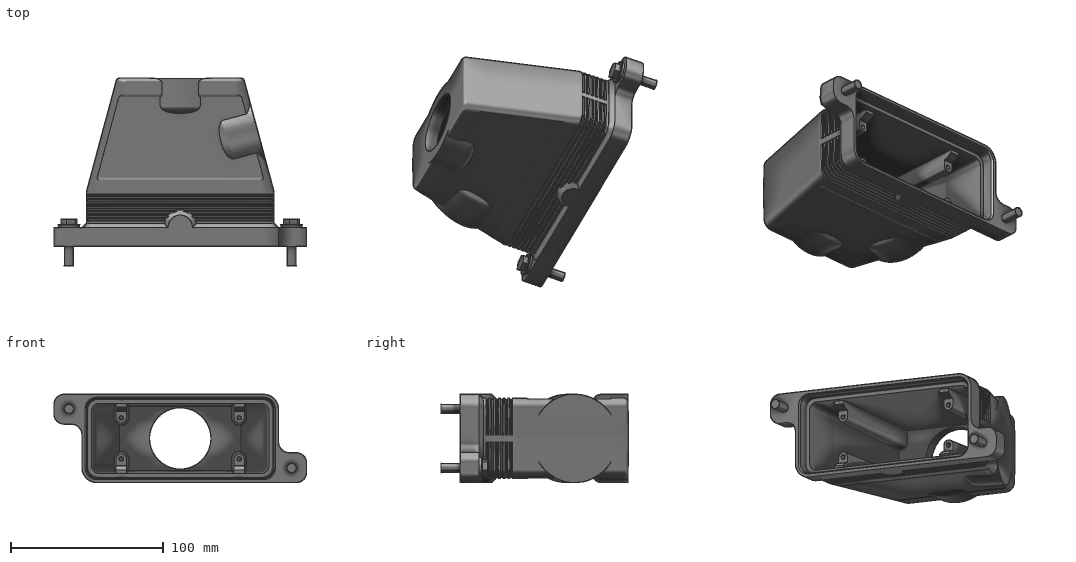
import cadquery as cq
import math


LENGTH = 165.5
FLANGE_DEPTH = 58.0
FLANGE_THICKNESS = 12.2
FLANGE_WIDTH = 128.8
FLANGE_CORNER_RADIUS = 10.0
EAR_HEIGHT = 19.7
EAR_RADIUS = 7.0

BODY_WIDTH = 122.8
BODY_DEPTH = 52.6
BODY_TOP = 110.2
SHOULDER_Y = 35.9
SIDE_ANGLE = 15.0
DRAFT_ANGLE = 1.0
BODY_CORNER_RADIUS = 6.6
BODY_TOP_RADIUS = 2.5
FLARE_ANGLE = 45.0

RECESS_DEPTH = 0.5
RECESS_START_Y = 43.2
RECESS_END_Y = 99.1
RECESS_SLOPE = 1.7

GROOVE_COUNT = 6
GROOVE_SPAN = 15.4
FIRST_GROOVE_Y = 33.3
GROOVE_DEPTH = 0.8
GROOVE_FLANK = 0.7
GROOVE_FLOOR = 0.8
GROOVE_GAP = 4.6

BOSS_RADIUS = FLANGE_DEPTH / 2
BOSS_ROUNDING = 6.5
TOP_BOSS_LENGTH = 17.2
TOP_BOSS_END_Y = 109.7
SIDE_BOSS_LENGTH = 19.4
SIDE_BOSS_START = (32.0, 70.0)
CABLE_HOLE_RADIUS = 20.0

BUMP_Y = 12.5
BUMP_RADIUS = 8.0
BUMP_FLARE = 4.1

MOUTH_WIDTH = 124.5
MOUTH_DEPTH = 54.0
MOUTH_CORNER_RADIUS = 7.8
MOUTH_LEVELS = (0.0, 1.5, 5.5, 8.1)
MOUTH_INSETS = (0.0, 0.8, 1.0, 1.5)
CAVITY_START_Y = MOUTH_LEVELS[-1]
CAVITY_BEND_Y = 39.0
CAVITY_END_Y = 101.8
CAVITY_WIDTHS = (116.2, 112.9, 79.5)
CAVITY_DEPTH_START = 46.0
CAVITY_DEPTH_END = 41.9
CAVITY_CORNER_RADIUS = 5.5

POST_X = 38.5
POST_HOLE_Z = 13.4
POST_RADIUS = 3.3
POST_END_Y = 18.2
POST_DRAFT = 1.1
POST_HOLE_RADIUS = 1.5
POST_HOLE_DEPTH = 13.2
POST_ROOT_Z = 24.2
FOOT_OUTLINE = ((18.2, 17.5), (15.9, 18.0), (11.9, 20.7))

SCREW_X = 72.8
SCREW_Z = 19.4
SCREW_RADIUS = 3.0
SCREW_TIP_Y = -12.7
TIP_RADIUS = 3.1
TIP_THICKNESS = 0.2
WASHER_RADIUS = 6.8
WASHER_THICKNESS = 1.7
COLLAR_RADIUS = 7.1
COLLAR_THICKNESS = 0.5
HEX_ACROSS_CORNERS = 11.1
HEX_HEIGHT = 3.5
HEX_TURN = 15.0


def plane_at(y):
    """Workplane at height y whose normal is +Y (its local y axis is -Z)."""
    return cq.Workplane(cq.Plane(origin=(0, y, 0), xDir=(1, 0, 0), normal=(0, 1, 0)))


def rounded_rectangle(y, width, depth, radius):
    return plane_at(y).sketch().rect(width, depth).vertices().fillet(radius).finalize()


def rounded_block(y, width, depth, radius, height, taper=0.0):
    return rounded_rectangle(y, width, depth, radius).extrude(height, taper=taper)


def disc(x, y, z, radius, height):
    return plane_at(y).center(x, -z).circle(radius).extrude(height)


def make_flange():
    half_depth = FLANGE_DEPTH / 2
    half_width = FLANGE_WIDTH / 2
    slab = rounded_block(0, FLANGE_WIDTH, FLANGE_DEPTH, FLANGE_CORNER_RADIUS, FLANGE_THICKNESS)
    ear_z = half_depth - EAR_HEIGHT
    inner_x = half_width - FLANGE_CORNER_RADIUS
    ear = (
        cq.Workplane("XZ")
        .moveTo(-inner_x, half_depth)
        .lineTo(-LENGTH / 2 + EAR_RADIUS, half_depth)
        .radiusArc((-LENGTH / 2, half_depth - EAR_RADIUS), -EAR_RADIUS)
        .lineTo(-LENGTH / 2, ear_z + EAR_RADIUS)
        .radiusArc((-LENGTH / 2 + EAR_RADIUS, ear_z), -EAR_RADIUS)
        .lineTo(-half_width - EAR_RADIUS, ear_z)
        .radiusArc((-half_width, ear_z - EAR_RADIUS), EAR_RADIUS)
        .lineTo(-inner_x, ear_z - EAR_RADIUS)
        .close()
        .extrude(-FLANGE_THICKNESS)
    )
    return slab.union(ear).union(ear.rotate((0, 0, 0), (0, 1, 0), 180))


def make_body():
    """Trapezoid outline drafted both ways from the parting plane z = 0."""
    half_width = BODY_WIDTH / 2
    top_half_width = half_width - (BODY_TOP - SHOULDER_Y) * math.tan(math.radians(SIDE_ANGLE))
    outline = (
        cq.Workplane("XY")
        .moveTo(-half_width, 0)
        .lineTo(half_width, 0)
        .lineTo(half_width, SHOULDER_Y)
        .lineTo(top_half_width, BODY_TOP)
        .lineTo(-top_half_width, BODY_TOP)
        .lineTo(-half_width, SHOULDER_Y)
        .close()
    )
    half = outline.extrude(BODY_DEPTH / 2, taper=DRAFT_ANGLE)
    half = half.faces(">Z").edges("not |X").fillet(BODY_CORNER_RADIUS)
    parting_edges = cq.selectors.BoxSelector((-LENGTH, 0, -1.7), (LENGTH, LENGTH, 1.7))
    half = half.faces(">Y").edges(-parting_edges).fillet(BODY_TOP_RADIUS)
    return half.union(half.mirror("XY"))


def make_recess():
    floor_z = BODY_DEPTH / 2 - RECESS_DEPTH
    above_z = floor_z + 2 * RECESS_DEPTH
    return (
        cq.Workplane("YZ")
        .polyline(
            [
                (RECESS_START_Y - RECESS_SLOPE, above_z),
                (RECESS_START_Y + RECESS_SLOPE, floor_z),
                (RECESS_END_Y - RECESS_SLOPE, floor_z),
                (RECESS_END_Y + RECESS_SLOPE, above_z),
            ]
        )
        .close()
        .extrude(BODY_WIDTH / 2, both=True)
    )


def make_groove(y):
    """Ring cutter with sloped flanks, interrupted at the parting line on both ends."""
    half_floor = GROOVE_FLOOR / 2
    half_height = half_floor + GROOVE_FLANK
    width = BODY_WIDTH - 2 * GROOVE_DEPTH
    depth = BODY_DEPTH - 2 * GROOVE_DEPTH
    radius = BODY_CORNER_RADIUS
    core = rounded_block(y - half_floor, width, depth, radius, GROOVE_FLOOR)
    flank_angle = math.degrees(math.atan2(GROOVE_DEPTH, GROOVE_FLANK))
    flank = rounded_block(y + half_floor, width, depth, radius, GROOVE_FLANK, -flank_angle)
    core = core.union(flank).union(flank.mirror("XZ", (0, y, 0)))
    bridge = cq.Workplane("XY").box(LENGTH, 2 * half_height, GROOVE_GAP).translate((0, y, 0))
    ring = plane_at(y - half_height).rect(LENGTH, FLANGE_DEPTH).extrude(2 * half_height)
    return ring.cut(core).cut(bridge)


def make_boss(length):
    """Solid boss along +Y with a rounded inner end; its straight part starts at y = 0."""
    rounded = disc(0, -BOSS_ROUNDING, 0, BOSS_RADIUS, BOSS_ROUNDING + length)
    return rounded.faces("<Y").edges().fillet(BOSS_ROUNDING)


def make_bump():
    return (
        cq.Workplane("XY", origin=(0, BUMP_Y, FLANGE_DEPTH / 2))
        .circle(BUMP_RADIUS)
        .workplane(offset=-BUMP_FLARE)
        .circle(BUMP_RADIUS + BUMP_FLARE)
        .loft()
    )


def make_mouth():
    mouth = None
    for i in range(len(MOUTH_LEVELS) - 1):
        height = MOUTH_LEVELS[i + 1] - MOUTH_LEVELS[i]
        inset = MOUTH_INSETS[i + 1] - MOUTH_INSETS[i]
        step = rounded_block(
            MOUTH_LEVELS[i],
            MOUTH_WIDTH - 2 * MOUTH_INSETS[i],
            MOUTH_DEPTH - 2 * MOUTH_INSETS[i],
            MOUTH_CORNER_RADIUS - MOUTH_INSETS[i],
            height,
            math.degrees(math.atan2(inset, height)),
        )
        mouth = step if mouth is None else mouth.union(step)
    return mouth


def make_cavity():
    wires = []
    narrowing = (CAVITY_DEPTH_START - CAVITY_DEPTH_END) / (CAVITY_END_Y - CAVITY_START_Y)
    for y, width in zip((CAVITY_START_Y, CAVITY_BEND_Y, CAVITY_END_Y), CAVITY_WIDTHS):
        depth = CAVITY_DEPTH_START - narrowing * (y - CAVITY_START_Y)
        section = rounded_block(y, width, depth, CAVITY_CORNER_RADIUS, MOUTH_DEPTH)
        wires.append(section.faces("<Y").wires().val())
    return cq.Workplane(cq.Solid.makeLoft(wires, True))


def make_post():
    """Mounting post on the +Z wall at x = POST_X, with a foot reaching towards the mouth."""
    pillar = (
        plane_at(POST_END_Y)
        .center(POST_X, 0)
        .moveTo(-POST_RADIUS, -POST_ROOT_Z)
        .lineTo(-POST_RADIUS, -POST_HOLE_Z)
        .threePointArc((0, POST_RADIUS - POST_HOLE_Z), (POST_RADIUS, -POST_HOLE_Z))
        .lineTo(POST_RADIUS, -POST_ROOT_Z)
        .close()
        .extrude(CAVITY_END_Y - POST_END_Y, taper=-POST_DRAFT)
    )
    foot_points = list(FOOT_OUTLINE)
    foot_points.append((FOOT_OUTLINE[-1][0], POST_ROOT_Z))
    foot_points.append((FOOT_OUTLINE[0][0], POST_ROOT_Z))
    foot = (
        cq.Workplane("YZ", origin=(POST_X, 0, 0))
        .polyline(foot_points)
        .close()
        .extrude(POST_RADIUS, both=True)
    )
    hole = disc(POST_X, POST_END_Y, POST_HOLE_Z, POST_HOLE_RADIUS, POST_HOLE_DEPTH)
    return pillar.cut(hole).union(foot)


def make_screw(x, z):
    shank = disc(x, SCREW_TIP_Y, z, SCREW_RADIUS, FLANGE_THICKNESS - SCREW_TIP_Y)
    tip = disc(x, SCREW_TIP_Y, z, TIP_RADIUS, TIP_THICKNESS)
    washer = disc(x, FLANGE_THICKNESS, z, WASHER_RADIUS, WASHER_THICKNESS)
    collar_y = FLANGE_THICKNESS + WASHER_THICKNESS
    collar = disc(x, collar_y, z, COLLAR_RADIUS, COLLAR_THICKNESS)
    head = (
        plane_at(collar_y + COLLAR_THICKNESS)
        .transformed(offset=(x, -z, 0), rotate=(0, 0, HEX_TURN))
        .polygon(6, HEX_ACROSS_CORNERS)
        .extrude(HEX_HEIGHT)
    )
    return shank.union(tip).union(washer).union(collar).union(head)


envelope = make_body()
body = envelope
groove_pitch = GROOVE_SPAN / (GROOVE_COUNT - 1)
for i in range(GROOVE_COUNT):
    body = body.cut(make_groove(FIRST_GROOVE_Y - i * groove_pitch))
recess = make_recess()
body = body.cut(recess).cut(recess.mirror("XY"))

flare_height = (FLANGE_WIDTH - BODY_WIDTH) / 2
flare = rounded_block(
    FLANGE_THICKNESS, FLANGE_WIDTH, FLANGE_DEPTH, FLANGE_CORNER_RADIUS, flare_height, FLARE_ANGLE
)
top_boss = make_boss(TOP_BOSS_LENGTH).translate((0, TOP_BOSS_END_Y - TOP_BOSS_LENGTH, 0))
side_boss = (
    make_boss(SIDE_BOSS_LENGTH)
    .rotate((0, 0, 0), (0, 0, 1), SIDE_ANGLE - 90)
    .translate((*SIDE_BOSS_START, 0))
)
bump = make_bump()
shell = body.union(make_flange()).union(flare).union(bump).union(bump.mirror("XY"))
shell = shell.union(top_boss).union(side_boss)

shell = shell.cut(make_cavity()).cut(make_mouth())
shell = shell.cut(disc(0, CAVITY_BEND_Y, 0, CABLE_HOLE_RADIUS, LENGTH))

post = make_post().intersect(envelope)
for mounted in (post, post.mirror("XY")):
    shell = shell.union(mounted).union(mounted.mirror("YZ"))
for side in (-1, 1):
    shell = shell.union(make_screw(side * SCREW_X, -side * SCREW_Z))

result = shell